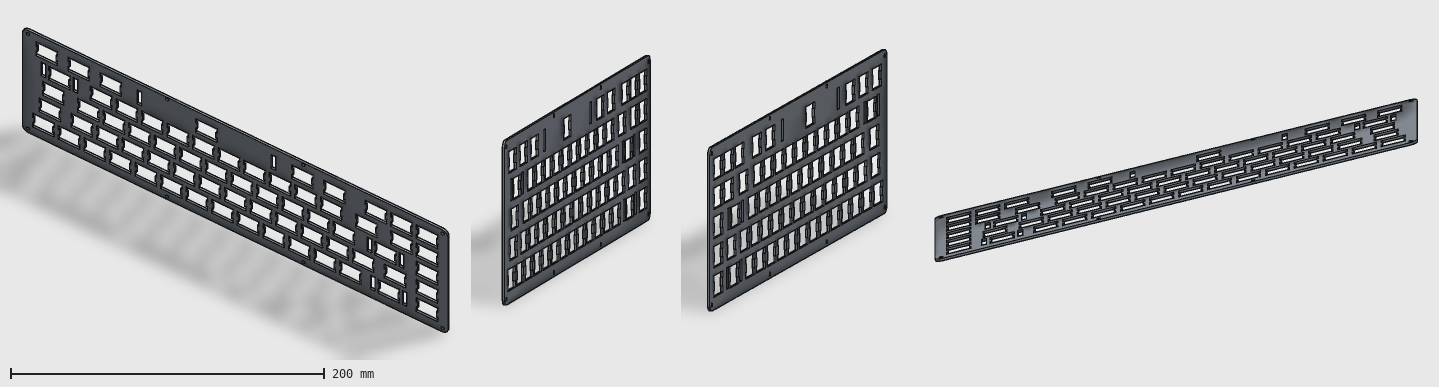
import cadquery as cq

PLATE_WIDTH = 317.0
PLATE_HEIGHT = 106.81
PLATE_THICKNESS = 1.59
CORNER_RADIUS = 5.0

KEY_UNIT = 19.05
ROW_LENGTH = 16.0

SWITCH_HEIGHT = 14.0
SWITCH_TAB_GAP = 14.0
SWITCH_WIDE_WIDTH = 15.9
SWITCH_TAB_HEIGHT = 5.6

STABILIZER_SLOT_WIDTH = 3.3
STABILIZER_SLOT_HEIGHT = 14.0
STABILIZER_SLOT_RISE = 0.5
SHORT_STABILIZER_REACH = 11.9
SPACEBAR_STABILIZER_REACH = 50.0
SHORT_STABILIZER_MIN_KEY = 2.0
SPACEBAR_MIN_KEY = 6.0

HOLE_DIAMETER = 2.4
CORNER_HOLE_INSET = 4.0
TOP_HOLE_INSET = 2.4
BOTTOM_HOLE_INSET = 2.8
EDGE_HOLE_X = 50.8

KEY_ROWS = [
    [1.0] * 13 + [2.0, 1.0],
    [1.5] + [1.0] * 12 + [1.5, 1.0],
    [1.75] + [1.0] * 11 + [2.25, 1.0],
    [2.25] + [1.0] * 10 + [1.75, 1.0, 1.0],
    [1.25] * 3 + [6.25] + [1.25] * 2 + [-0.5] + [1.0] * 3,
]


def key_positions():
    """Return (x, z, width in key units) for every key."""
    keys = []
    for row, widths in enumerate(KEY_ROWS):
        z = (row - (len(KEY_ROWS) - 1) / 2) * KEY_UNIT
        left = -ROW_LENGTH / 2
        for width in widths:
            if width > 0:
                keys.append(((left + width / 2) * KEY_UNIT, z, width))
            left += abs(width)
    return keys


def stabilizer_reach(key_width):
    """Return the slot distance from the key centre, or None for a short key."""
    if key_width >= SPACEBAR_MIN_KEY:
        return SPACEBAR_STABILIZER_REACH
    if key_width >= SHORT_STABILIZER_MIN_KEY:
        return SHORT_STABILIZER_REACH
    return None


def stabilizer_slot_positions(keys):
    """Return the (x, z) centre of both slots of every stabilized key."""
    slots = []
    for x, z, width in keys:
        reach = stabilizer_reach(width)
        if reach is not None:
            slots += [(x + side * reach, z + STABILIZER_SLOT_RISE) for side in (-1, 1)]
    return slots


def mounting_hole_positions():
    """Return the corner and edge hole centres, mirrored left to right."""
    corner_x = PLATE_WIDTH / 2 - CORNER_HOLE_INSET
    corner_z = PLATE_HEIGHT / 2 - CORNER_HOLE_INSET
    top_z = PLATE_HEIGHT / 2 - TOP_HOLE_INSET
    bottom_z = BOTTOM_HOLE_INSET - PLATE_HEIGHT / 2
    right_holes = [
        (corner_x, corner_z),
        (corner_x, -corner_z),
        (EDGE_HOLE_X, top_z),
        (EDGE_HOLE_X, bottom_z),
    ]
    return [(side * x, z) for x, z in right_holes for side in (-1, 1)]


def front_plane():
    """XZ sketch plane centred on the plate; positive extrusion runs toward -Y."""
    return cq.Workplane("XZ")


def make_plate():
    plate = front_plane().rect(PLATE_WIDTH, PLATE_HEIGHT).extrude(PLATE_THICKNESS)
    return plate.edges("|Y").fillet(CORNER_RADIUS)


def switch_cutters(centres):
    """Return the central openings and the wider bands above and below the side tabs."""
    band_height = (SWITCH_HEIGHT - SWITCH_TAB_HEIGHT) / 2
    band_offset = (SWITCH_HEIGHT - band_height) / 2
    band_centres = [(x, z + side * band_offset) for x, z in centres for side in (-1, 1)]
    centre_openings = front_plane().pushPoints(centres).rect(SWITCH_TAB_GAP, SWITCH_HEIGHT)
    bands = front_plane().pushPoints(band_centres).rect(SWITCH_WIDE_WIDTH, band_height)
    return centre_openings.extrude(PLATE_THICKNESS), bands.extrude(PLATE_THICKNESS)


def stabilizer_cutters(centres):
    slots = front_plane().pushPoints(centres)
    return slots.rect(STABILIZER_SLOT_WIDTH, STABILIZER_SLOT_HEIGHT).extrude(PLATE_THICKNESS)


def hole_cutters(centres):
    return front_plane().pushPoints(centres).circle(HOLE_DIAMETER / 2).extrude(PLATE_THICKNESS)


key_layout = key_positions()
switch_openings, switch_bands = switch_cutters([(x, z) for x, z, _ in key_layout])

result = (
    make_plate()
    .cut(switch_openings)
    .cut(switch_bands)
    .cut(stabilizer_cutters(stabilizer_slot_positions(key_layout)))
    .cut(hole_cutters(mounting_hole_positions()))
)